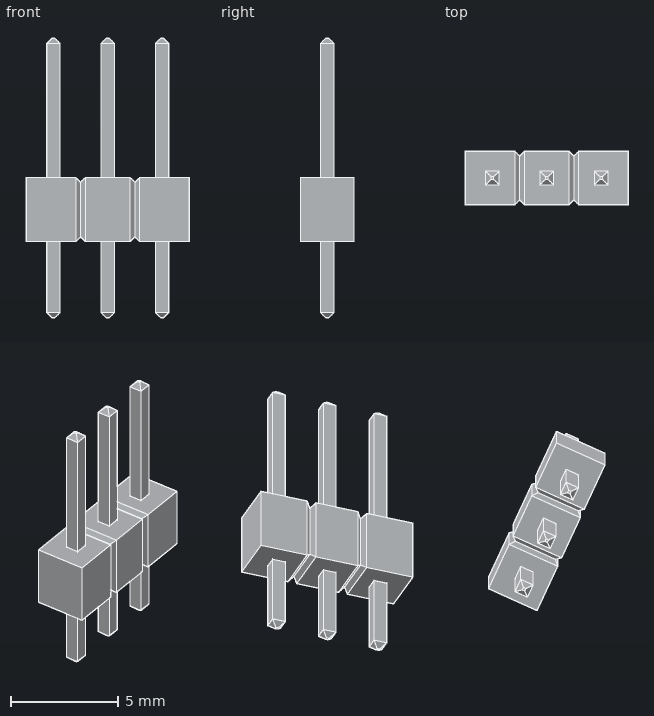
import cadquery as cq

pin_count = 3
pitch = 2.54
housing_depth = 2.5
housing_height = 3.0
groove_depth = 0.22
pin_width = 0.64
pin_length = 13.07
pin_below_housing = 3.56
pin_tip_chamfer = 0.256

pin_positions = [(i - (pin_count - 1) / 2) * pitch for i in range(pin_count)]


def make_pin(x):
    """Square pin standing along Z at x, with a blunt pyramid at each end."""
    return (
        cq.Workplane("XY", origin=(x, 0, -pin_below_housing))
        .rect(pin_width, pin_width)
        .extrude(pin_length)
        .faces("<Z or >Z")
        .chamfer(pin_tip_chamfer)
    )


def make_groove_cutter(x):
    """Ring that cuts a V-groove into the top, bottom, front and back at x."""
    slab = cq.Workplane("XY", origin=(x, 0, 0)).box(
        2 * groove_depth, housing_depth, housing_height, centered=(True, True, False)
    )
    neck_depth = housing_depth - 2 * groove_depth
    neck_height = housing_height - 2 * groove_depth
    for side in (-1, 1):
        half = (
            cq.Workplane("YZ", origin=(x, 0, housing_height / 2))
            .rect(neck_depth, neck_height)
            .workplane(offset=side * groove_depth)
            .rect(housing_depth, housing_height)
            .loft(ruled=True)
        )
        slab = slab.cut(half)
    return slab


def make_housing(pins):
    """Block standing on Z = 0, grooved between positions, with a square hole for each pin."""
    body = cq.Workplane("XY").box(
        pin_count * pitch, housing_depth, housing_height, centered=(True, True, False)
    )
    for x in pin_positions[:-1]:
        body = body.cut(make_groove_cutter(x + pitch / 2))
    for pin in pins:
        body = body.cut(pin)
    return body.solids()


pins = [make_pin(x) for x in pin_positions]
housing = make_housing(pins)

result = cq.Compound.makeCompound([housing.val(), *[pin.val() for pin in pins]])